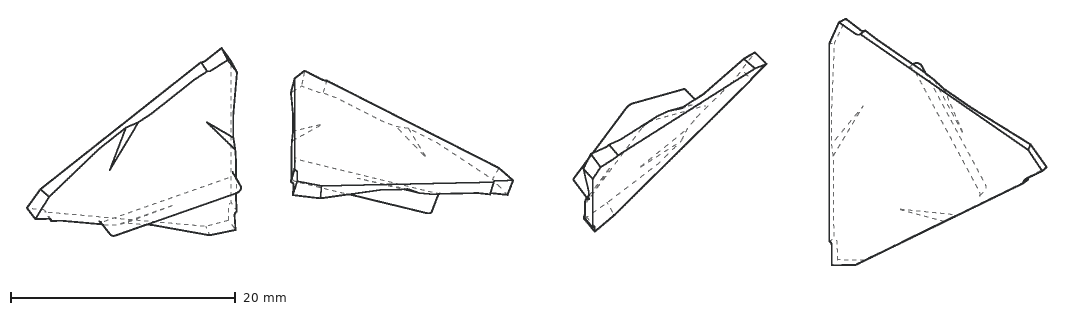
import cadquery as cq
import math

CORNERS = 3
CORNER_STEP = 360 / CORNERS
REACH = 40.0

EDGE_DISTANCE = 7.1
TIP_RADIUS = 13.054
TIP_ANGLE = 61.7
FLANK_START = 9.43
FLANK_DRAFT = 5.0
NOTCH_START = -8.9
NOTCH_RADIUS = 0.4

PLATE_THICKNESS = 1.1
TIP_HEIGHT = 1.52
TIP_RAMP_ANGLE = 60.0
TIP_RAMP_SLOPE = 0.141

DISH_EDGE_HEIGHT = 0.55
DISH_FLOOR_SLOPE = 0.141
DISH_WALL_TURN = 30.0
DISH_WALL_BOTTOM = 6.13
DISH_WALL_BEND = 5.53
DISH_WALL_TOP = 4.85
DISH_BEND_HEIGHT = 0.95

BOSS_TOP = 3.5
BOSS_SIDE_DISTANCE = 4.03
BOSS_FIRST_SIDE_ANGLE = 30.0
BOSS_CORNER_RADIUS = 0.5
BOSS_DRAFT = 2.0
BOSS_FOOT_RADIUS = 0.47
BOSS_TOP_ROUND = 0.1


def polar(radius, angle):
    """Point (Y, Z) at a distance and angle from the centre."""
    return radius * math.cos(math.radians(angle)), radius * math.sin(math.radians(angle))


def turned(point, angle):
    """Point (Y, Z) turned about the centre."""
    return polar(math.hypot(*point), math.degrees(math.atan2(point[1], point[0])) + angle)


def long_prism(profile, angle):
    """Long prism whose (distance from the centre, height) profile faces the given angle."""
    outward_y, outward_z = polar(1, angle)
    section = cq.Plane(origin=(0, 0, 0), xDir=(0, outward_y, outward_z), normal=(0, outward_z, -outward_y))
    return cq.Workplane(section).polyline(profile).close().extrude(REACH, both=True)


def flank_direction():
    """Outward angle of the first corner's flank and its distance from the centre."""
    tip_y, tip_z = polar(TIP_RADIUS, TIP_ANGLE)
    angle = math.degrees(math.atan2(EDGE_DISTANCE - tip_y, tip_z - FLANK_START))
    normal_y, normal_z = polar(1, angle)
    return angle, tip_y * normal_y + tip_z * normal_z


def outline_prism():
    """Pinwheel outline as a prism taller than the plate, with each flank leaning inwards."""
    tip = polar(TIP_RADIUS, TIP_ANGLE)
    land_distance = turned(tip, -CORNER_STEP)[0]
    notch_depth = EDGE_DISTANCE - land_distance
    notch_sweep = math.acos(1 - notch_depth / NOTCH_RADIUS)
    notch_middle = (
        land_distance + NOTCH_RADIUS * (1 - math.cos(notch_sweep / 2)),
        NOTCH_START - NOTCH_RADIUS * (math.sin(notch_sweep) - math.sin(notch_sweep / 2)),
    )
    notch_end = (land_distance, NOTCH_START - NOTCH_RADIUS * math.sin(notch_sweep))

    sketch = cq.Workplane("YZ").moveTo(*turned(tip, -CORNER_STEP))
    for corner in range(CORNERS):
        angle = corner * CORNER_STEP
        sketch = sketch.lineTo(*turned(notch_end, angle))
        edge_start = turned((EDGE_DISTANCE, NOTCH_START), angle)
        sketch = sketch.threePointArc(turned(notch_middle, angle), edge_start)
        sketch = sketch.lineTo(*turned((EDGE_DISTANCE, FLANK_START), angle))
        sketch = sketch.lineTo(*turned(tip, angle))
    prism = sketch.close().extrude(BOSS_TOP)

    flank_angle, flank_distance = flank_direction()
    lean = BOSS_TOP * math.tan(math.radians(FLANK_DRAFT))
    lean_profile = [
        (flank_distance, 0),
        (REACH, 0),
        (REACH, BOSS_TOP),
        (flank_distance - lean, BOSS_TOP),
    ]
    for corner in range(CORNERS):
        prism = prism.cut(long_prism(lean_profile, flank_angle + corner * CORNER_STEP))
    return prism


def dish(edge_angle):
    """Space cut from the plate top at one long edge: a sloping floor and a bent wall along the boss."""
    floor_rise = EDGE_DISTANCE * DISH_FLOOR_SLOPE
    past_edge = 2 * EDGE_DISTANCE
    above_floor = [
        (0, DISH_EDGE_HEIGHT + floor_rise),
        (0, BOSS_TOP),
        (past_edge, BOSS_TOP),
        (past_edge, DISH_EDGE_HEIGHT - floor_rise),
    ]
    beyond_wall = [
        (DISH_WALL_TOP, PLATE_THICKNESS),
        (DISH_WALL_BEND, DISH_BEND_HEIGHT),
        (DISH_WALL_BOTTOM, DISH_EDGE_HEIGHT),
        (DISH_WALL_BOTTOM, 0),
        (REACH, 0),
        (REACH, BOSS_TOP),
        (DISH_WALL_TOP, BOSS_TOP),
    ]
    return long_prism(above_floor, edge_angle).intersect(long_prism(beyond_wall, edge_angle + DISH_WALL_TURN))


def tip_ramp(angle):
    """Wedge that rises outwards to the tip height."""
    foot = TIP_RADIUS - TIP_HEIGHT / TIP_RAMP_SLOPE
    height = (REACH - foot) * TIP_RAMP_SLOPE
    return long_prism([(foot, 0), (REACH, 0), (REACH, height)], angle)


def plate():
    """Flat slab with a dish at each long edge and a ramp rising to each tip."""
    outline = outline_prism()
    slab = outline.intersect(cq.Workplane("YZ").rect(REACH, REACH).extrude(PLATE_THICKNESS))
    for corner in range(CORNERS):
        slab = slab.cut(dish(corner * CORNER_STEP))
    for corner in range(CORNERS):
        slab = slab.union(outline.intersect(tip_ramp(TIP_RAMP_ANGLE + corner * CORNER_STEP)))
    return slab


def boss():
    """Drafted triangle with rounded corners, a rounded top rim and a foot that flares onto the plate top."""
    sharp_corner = 2 * BOSS_SIDE_DISTANCE
    first_corner = BOSS_FIRST_SIDE_ANGLE + CORNER_STEP / 2
    corners = [polar(sharp_corner, first_corner + i * CORNER_STEP) for i in range(CORNERS)]
    plate_top = cq.Workplane("YZ").workplane(offset=PLATE_THICKNESS)
    core = plate_top.polyline(corners).close().extrude(BOSS_TOP - PLATE_THICKNESS, taper=BOSS_DRAFT)
    core = core.edges("not(<X or >X)").fillet(BOSS_CORNER_RADIUS)
    core = core.faces(">X").edges().fillet(BOSS_TOP_ROUND)

    ground = cq.Workplane("YZ").rect(REACH, REACH).extrude(PLATE_THICKNESS)
    foot_zone = cq.selectors.BoxSelector(
        (PLATE_THICKNESS / 2, -sharp_corner, -sharp_corner),
        (PLATE_THICKNESS + BOSS_TOP_ROUND, sharp_corner, sharp_corner),
    )
    return ground.union(core).edges(foot_zone).fillet(BOSS_FOOT_RADIUS).cut(ground)


result = plate().union(boss())